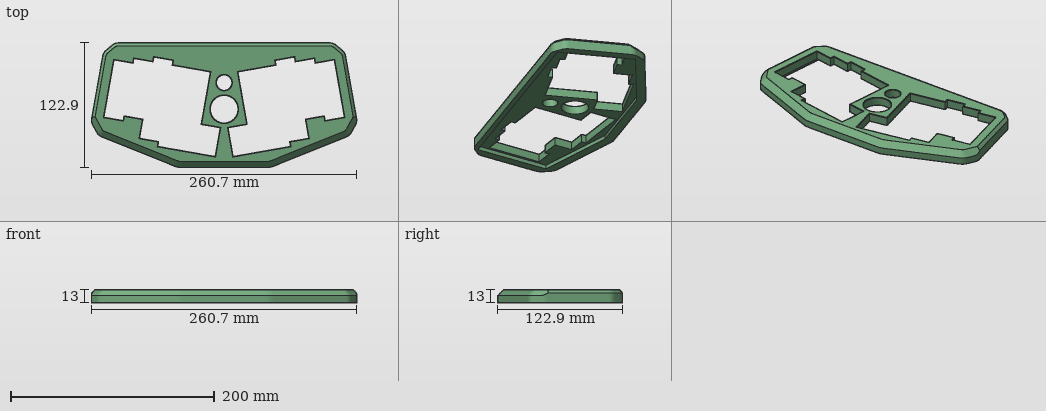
import cadquery as cq
import math

thickness = 13.0
depth = 122.9
back_width = 234.2
front_width = 90.0
side_lean = 10.0
flank_slope = 21.9
corner_cut = 10.0
corner_radius = 10.0
front_radius = 20.0

back_chamfer = 3.0
front_chamfer = 6.0

plate_thickness = 8.9
rim_width = 9.0
back_rim_width = 5.0

key_pitch = 19.0
column_count = 6
block_left = -column_count * key_pitch
block_top = 25.0
stagger = key_pitch / 4

column_groups = [
    (0, 1, 0, 3),
    (1, 1, 1, 3),
    (2, 1, 2, 4.25),
    (3, 2, 1, 4.25),
    (5, 1, -10, 1.5),
]

round_holes = [(15.0, 22.2), (27.0, -4.0)]

opening_chamfer = 0.5

front_angle = 0
flank_angle = math.radians(flank_slope)
side_angle = math.radians(90 + side_lean)
side_cut_angle = (flank_angle + side_angle) / 2
back_angle = math.pi


def moved(point, angle, distance):
    return (point[0] + distance * math.cos(angle), point[1] + distance * math.sin(angle))


def inset(point, edge_angle, distance):
    """Point moved inward, square to an edge of the outline."""
    return moved(point, edge_angle + math.pi / 2, distance)


def crossing(point_a, angle_a, point_b, angle_b):
    """Point where two lines, each given by a point and an angle, cross."""
    dx = point_b[0] - point_a[0]
    dy = point_b[1] - point_a[1]
    distance = (dx * math.sin(angle_b) - dy * math.cos(angle_b)) / math.sin(angle_b - angle_a)
    return moved(point_a, angle_a, distance)


front_corner = (front_width / 2, -depth / 2)
back_corner = (back_width / 2, depth / 2)
side_corner = crossing(front_corner, flank_angle, back_corner, side_angle)
flank_end = moved(side_corner, flank_angle, -corner_cut)
side_start = moved(side_corner, side_angle, corner_cut)
side_end = moved(back_corner, side_angle, -corner_cut)
back_start = moved(back_corner, back_angle, corner_cut)


def symmetric_plate(right_points, height):
    """Plate standing on Z = 0, with an outline mirrored across the Y axis."""
    left_points = [(-x, y) for x, y in reversed(right_points)]
    return cq.Workplane("XY").polyline(right_points + left_points).close().extrude(height)


def rounded_plate(right_points, chamfer):
    """Full-height plate with rounded corners and a chamfered top edge."""
    plate = symmetric_plate(right_points, thickness)
    plate = plate.edges("|Z and (not <Y)").fillet(corner_radius)
    plate = plate.edges("|Z and <Y").fillet(front_radius)
    return plate.faces(">Z").edges().chamfer(chamfer)


def outer_body():
    """Overlap of two plates, one for each chamfer size.

    The second plate extends the side corner cuts past the sides, so the larger chamfer
    fades out along the rounded corners.
    """
    outline_plate = rounded_plate(
        [front_corner, flank_end, side_start, side_end, back_start], back_chamfer)
    side_cut_far = moved(flank_end, side_cut_angle, depth)
    front_plate = rounded_plate([front_corner, flank_end, side_cut_far], front_chamfer)
    return outline_plate.intersect(front_plate)


def underside_recess():
    """Cutter with sharp corners, parallel to the uncut outline."""
    front = inset(front_corner, front_angle, rim_width)
    flank = inset(front_corner, flank_angle, rim_width)
    side = inset(back_corner, side_angle, rim_width)
    back = inset(back_corner, back_angle, back_rim_width)
    return symmetric_plate(
        [
            crossing(front, front_angle, flank, flank_angle),
            crossing(flank, flank_angle, side, side_angle),
            crossing(side, side_angle, back, back_angle),
        ],
        thickness - plate_thickness,
    )


def left_key_opening():
    """Full-height cutter for the left-hand key columns."""
    cutter = cq.Workplane("XY")
    for first_column, columns, staggers, rows in column_groups:
        height = rows * key_pitch
        left = block_left + first_column * key_pitch
        bottom = block_top + staggers * stagger - height
        column = cq.Workplane("XY").box(columns * key_pitch, height, thickness, centered=False)
        cutter = cutter.union(column.translate((left, bottom, 0)))
    return cutter.rotate((0, 0, 0), (0, 0, 1), -side_lean)


def chamfer_openings(body):
    top_face = body.faces(">Z").val()
    opening_edges = [edge for wire in top_face.innerWires() for edge in wire.Edges()]
    return body.newObject(opening_edges).chamfer(opening_chamfer)


result = outer_body().cut(underside_recess())

key_opening = left_key_opening()
result = result.cut(key_opening).cut(key_opening.mirror("YZ"))

for diameter, hole_y in round_holes:
    hole = cq.Workplane("XY").center(0, hole_y).circle(diameter / 2).extrude(thickness)
    result = result.cut(hole)

result = chamfer_openings(result)